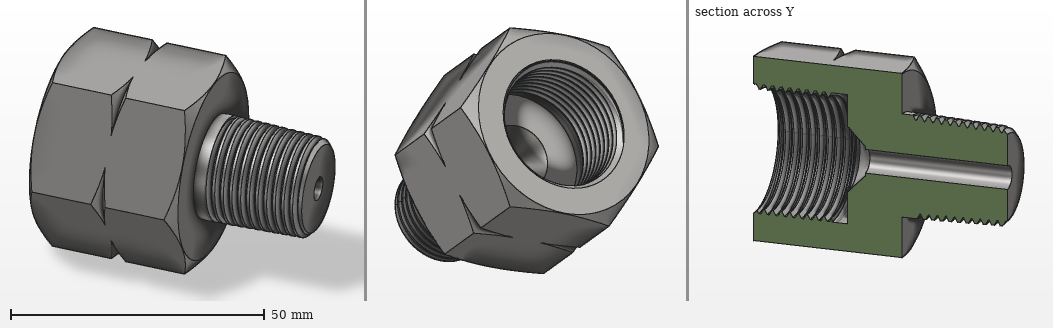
import cadquery as cq
import math

total_length = 53.85
hex_flats = 38.1
hex_length = 31.55
hex_corner_radius = hex_flats / math.sqrt(3)

bevel_slope = math.tan(math.radians(30))
end_face_radius = 18.95
groove_bottom_radius = 19.35

thread_pitch = 1.815
flank_slope = math.tan(math.radians(30))
cutter_overlap = 0.15
cylindrical_helix = 360

neck_radius = 10.7
neck_length = 2.4
male_thread_depth = 1.0
male_root_width = 0.05
male_taper_slope = 1 / 32
end_chamfer = 1.2
male_start = hex_length + neck_length
male_length = total_length - male_start
male_tip_radius = neck_radius - male_length * male_taper_slope

female_minor_radius = 12.35
female_thread_depth = 0.95
female_root_width = 0.4
mouth_radius = 13.45
thread_length = 16.7
socket_depth = 19.9
seat_mouth_radius = 6.8
seat_bottom_radius = 2.95
seat_depth = 3.8
bore_diameter = 4.8


def revolve_about_x(points):
    """Turn an outline of (x, radius) points about the X axis."""
    return cq.Workplane("XY").polyline(points).close().revolve(360, (0, 0, 0), (1, 0, 0))


def groove_turn(outline, taper_angle, left_handed):
    """One turn, about Z, of a groove with an outline of (radius, height) corners."""
    edges = [
        cq.Wire.makeHelix(thread_pitch, thread_pitch, radius, angle=taper_angle, lefthand=left_handed)
        .translate(cq.Vector(0, 0, height))
        for radius, height in outline
    ]
    faces = [cq.Face.makeRuledSurface(edges[i - 1], edges[i]) for i in range(len(edges))]
    for ends in ([edge.startPoint() for edge in edges], [edge.endPoint() for edge in edges]):
        faces.append(cq.Face.makeFromWires(cq.Wire.makePolygon(ends, close=True)))
    return cq.Solid.makeSolid(cq.Shell.makeShell(faces))


def cut_thread(body, start_plane, surface_radius, depth, root_width, turns,
               taper_angle=cylindrical_helix, left_handed=False):
    """Cut a helical V groove turn by turn; a negative depth cuts toward the axis.

    The helix climbs along the plane normal. On a tapered thread its radius grows as it climbs.
    """
    growth = 0
    if taper_angle != cylindrical_helix:
        growth = thread_pitch * math.tan(math.radians(taper_angle))
    overlap = -math.copysign(cutter_overlap, depth)
    root_half = root_width / 2
    open_half = root_half + (abs(depth) + cutter_overlap) * flank_slope
    for turn in range(turns):
        radius = surface_radius + turn * growth
        outline = [
            (radius + overlap, -open_half),
            (radius + depth, -root_half),
            (radius + depth, root_half),
            (radius + overlap, open_half),
        ]
        groove = groove_turn(outline, taper_angle, left_handed)
        groove = groove.translate(cq.Vector(0, 0, turn * thread_pitch))
        body = body.cut(cq.Workplane(groove.moved(cq.Location(start_plane))))
    return body


def hex_body():
    prism = cq.Workplane("YZ").polygon(6, 2 * hex_corner_radius).extrude(hex_length)
    bevel_length = (hex_corner_radius - end_face_radius) * bevel_slope
    groove_half_width = (hex_corner_radius - groove_bottom_radius) * bevel_slope
    middle = hex_length / 2
    envelope = revolve_about_x([
        (0, 0),
        (0, end_face_radius),
        (bevel_length, hex_corner_radius),
        (middle - groove_half_width, hex_corner_radius),
        (middle, groove_bottom_radius),
        (middle + groove_half_width, hex_corner_radius),
        (hex_length - bevel_length, hex_corner_radius),
        (hex_length, end_face_radius),
        (hex_length, 0),
    ])
    return prism.intersect(envelope)


def male_end():
    chamfer_radius = male_tip_radius + end_chamfer * male_taper_slope
    blank = revolve_about_x([
        (male_start, 0),
        (male_start, neck_radius),
        (total_length - end_chamfer, chamfer_radius),
        (total_length, chamfer_radius - end_chamfer),
        (total_length, 0),
    ])
    turns = math.ceil(male_length / thread_pitch) + 1
    start_x = male_start + turns * thread_pitch
    start_radius = neck_radius - (start_x - male_start) * male_taper_slope
    start_plane = cq.Plane((start_x, 0, 0), (0, 1, 0), (-1, 0, 0))
    taper_angle = math.degrees(math.atan(male_taper_slope))
    return cut_thread(
        blank, start_plane, start_radius, -male_thread_depth, male_root_width, turns, taper_angle)


def neck():
    return cq.Workplane("YZ").workplane(offset=hex_length).circle(neck_radius).extrude(neck_length)


def socket():
    """Space removed by the female thread bore, its mouth chamfer, undercut and seat."""
    female_major_radius = female_minor_radius + female_thread_depth
    seat_end = socket_depth + seat_depth
    return revolve_about_x([
        (0, 0),
        (0, mouth_radius),
        (mouth_radius - female_minor_radius, female_minor_radius),
        (thread_length, female_minor_radius),
        (thread_length, female_major_radius),
        (socket_depth, female_major_radius),
        (socket_depth, seat_mouth_radius),
        (seat_end, seat_bottom_radius),
        (seat_end, 0),
    ])


def female_end():
    blank = hex_body().cut(socket())
    start_plane = cq.Plane((-thread_pitch / 2, 0, 0), (0, 1, 0), (1, 0, 0))
    turns = math.ceil(thread_length / thread_pitch) + 1
    return cut_thread(
        blank, start_plane, female_minor_radius, female_thread_depth, female_root_width, turns,
        left_handed=True)


bore = cq.Workplane("YZ").circle(bore_diameter / 2).extrude(total_length)

result = female_end().union(neck()).union(male_end()).cut(bore)